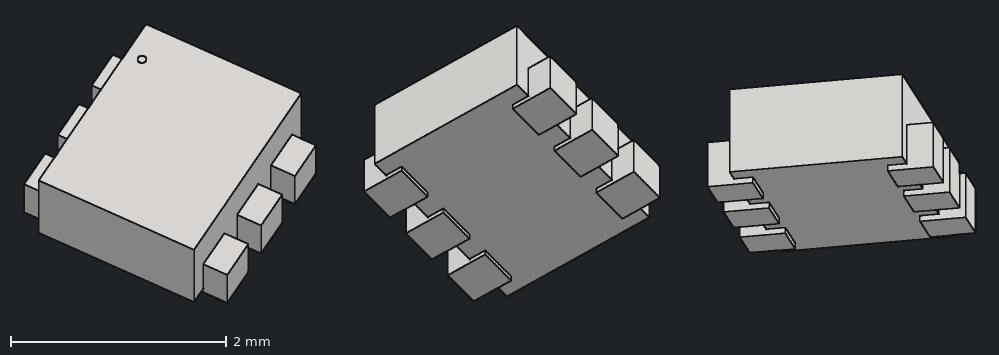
import cadquery as cq

SPAN_X = 2.16
TOTAL_HEIGHT = 0.89

HOUSING_X = 1.65
HOUSING_Y = 2.06
STANDOFF = 0.056

MARK_DIAMETER = 0.082
MARK_HEIGHT = 0.006
MARK_FROM_SIDE = 0.166
MARK_FROM_BACK = 0.378
HOUSING_TOP = TOTAL_HEIGHT - MARK_HEIGHT

LEADS_PER_SIDE = 3
LEAD_PITCH = 0.65
LEAD_WIDTH = 0.405
LEAD_HEIGHT = 0.445
FOOT_LENGTH = 0.436


def make_housing():
    return (
        cq.Workplane("XY")
        .workplane(offset=STANDOFF)
        .rect(HOUSING_X, HOUSING_Y)
        .extrude(HOUSING_TOP - STANDOFF)
    )


def make_mark():
    """Thin disc standing on the housing near its -X, +Y corner."""
    return (
        cq.Workplane("XY")
        .workplane(offset=HOUSING_TOP)
        .center(-HOUSING_X / 2 + MARK_FROM_SIDE, HOUSING_Y / 2 - MARK_FROM_BACK)
        .circle(MARK_DIAMETER / 2)
        .extrude(MARK_HEIGHT)
    )


def make_lead(side, y_center):
    """L-shaped lead on the -X (side = -1) or +X (side = 1) face of the housing."""
    outer_x = side * SPAN_X / 2
    housing_face_x = side * HOUSING_X / 2
    foot_end_x = side * (SPAN_X / 2 - FOOT_LENGTH)
    profile = [
        (outer_x, 0),
        (foot_end_x, 0),
        (foot_end_x, STANDOFF),
        (housing_face_x, STANDOFF),
        (housing_face_x, LEAD_HEIGHT),
        (outer_x, LEAD_HEIGHT),
    ]
    return (
        cq.Workplane("XZ", origin=(0, y_center, 0))
        .polyline(profile)
        .close()
        .extrude(LEAD_WIDTH / 2, both=True)
    )


housing = make_housing()
mark = make_mark()

leads = []
for side in (-1, 1):
    for index in range(LEADS_PER_SIDE):
        y_center = (index - (LEADS_PER_SIDE - 1) / 2) * LEAD_PITCH
        leads.append(make_lead(side, y_center))

result = cq.Compound.makeCompound(
    [housing.val(), mark.val(), *[lead.val() for lead in leads]]
)